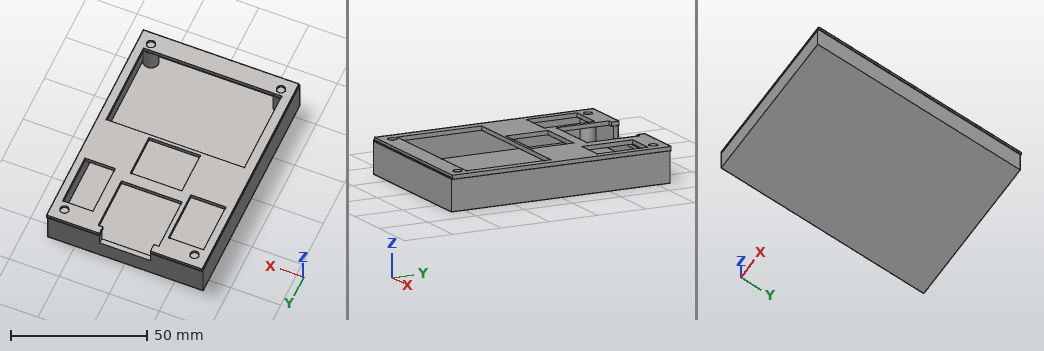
import cadquery as cq

LENGTH = 91.0
COVER_SHIFT_X = 0.3
COVER_SHIFT_Y = 0.3
WIDTH = 62.4
BODY_X = WIDTH - COVER_SHIFT_X
BODY_Y = LENGTH - COVER_SHIFT_Y

TOTAL_HEIGHT = 14.0
COVER_THICKNESS = 1.6
RIM_HEIGHT = 13.0
COVER_BOTTOM = TOTAL_HEIGHT - COVER_THICKNESS

WALL = 2.0
FLOOR = 3.0
CUTOUT_SILL = 7.55
POST_RADIUS = 3.0
PEG_TOP = RIM_HEIGHT

PEG_DIAMETER = 3.4
PEG_INSET_X = 5.1
PEG_INSET_Y = 4.8
PEG_POINTS = [
    (COVER_SHIFT_X + x, COVER_SHIFT_Y + y)
    for x in (PEG_INSET_X, BODY_X - PEG_INSET_X)
    for y in (PEG_INSET_Y, BODY_Y - PEG_INSET_Y)
]

NOTCH_LEFT = 20.9
NOTCH_WIDTH = 20.4
NOTCH_FRONT = 87.8

NOTCH_WINDOW_FRONT = 66.1
SIDE_WINDOW_FRONT = 61.9
SIDE_WINDOW_DEPTH = 20.9
WINDOWS = [
    (3.2, SIDE_WINDOW_FRONT, 14.0, SIDE_WINDOW_DEPTH),
    (47.4, SIDE_WINDOW_FRONT, 12.1, SIDE_WINDOW_DEPTH),
    (18.9, NOTCH_WINDOW_FRONT, 24.2, NOTCH_FRONT - NOTCH_WINDOW_FRONT),
    (20.9, 44.1, 20.6, 17.4),
    (3.9, 7.8, 55.2, 35.0),
]


def block(left, front, bottom, width, depth, height):
    """Box placed by its minimum corner."""
    return cq.Workplane("XY").box(width, depth, height, centered=False).translate((left, front, bottom))


def corner_cylinders(diameter, bottom, top):
    """Four vertical cylinders, one at each peg position."""
    return (
        cq.Workplane("XY", origin=(0, 0, bottom))
        .pushPoints(PEG_POINTS)
        .circle(diameter / 2)
        .extrude(top - bottom)
    )


def notch_cutter(front, bottom):
    """Notch volume running out through the +Y side and the top."""
    return block(NOTCH_LEFT, front, bottom, NOTCH_WIDTH, LENGTH - front, TOTAL_HEIGHT - bottom)


def make_cover():
    cover = block(COVER_SHIFT_X, COVER_SHIFT_Y, COVER_BOTTOM, BODY_X, BODY_Y, COVER_THICKNESS)
    for left, front, width, depth in WINDOWS:
        cover = cover.cut(block(left, front, COVER_BOTTOM, width, depth, COVER_THICKNESS))
    cover = cover.cut(notch_cutter(NOTCH_FRONT, COVER_BOTTOM))
    return cover.cut(corner_cylinders(PEG_DIAMETER, COVER_BOTTOM, TOTAL_HEIGHT))


def make_housing():
    housing = block(0, 0, 0, BODY_X, BODY_Y, RIM_HEIGHT)
    cavity = block(WALL, WALL, FLOOR, BODY_X - 2 * WALL, BODY_Y - 2 * WALL, RIM_HEIGHT - FLOOR)
    housing = housing.cut(cavity)
    housing = housing.union(corner_cylinders(2 * POST_RADIUS, FLOOR, COVER_BOTTOM))

    seat = block(COVER_SHIFT_X, COVER_SHIFT_Y, COVER_BOTTOM, BODY_X, BODY_Y, COVER_THICKNESS)
    housing = housing.cut(seat)
    housing = housing.cut(notch_cutter(BODY_Y - WALL, CUTOUT_SILL))

    return housing.union(corner_cylinders(PEG_DIAMETER, FLOOR, PEG_TOP))


housing = make_housing()
cover = make_cover()
result = cq.Compound.makeCompound([housing.val(), cover.val()])